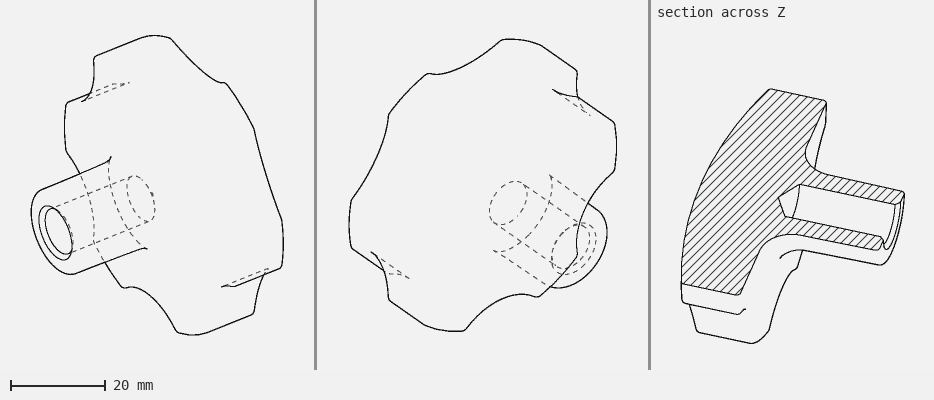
import cadquery as cq
import math

lobe_count = 6
grip_radius = 31.5
dome_apex = 18.0
dome_edge = 12.85
notch_radius = 14.5
notch_floor = 26.0
lobe_corner_radius = 1.5
edge_radius = 0.95

stem_length = 24.0
stem_base_radius = 9.8
stem_end_radius = 9.6
flare_radius = 16.95
flare_depth = 6.8

bore_radius = 5.1
bore_mouth_radius = 6.05
bore_depth = 22.05
drill_point_angle = 118.0


def lobed_disc():
    """Domed disc with concave finger notches between the lobes."""
    disc_height = dome_apex - dome_edge
    dome_radius = (grip_radius**2 + disc_height**2) / (2 * disc_height)
    mid_radius = grip_radius / 2
    mid_height = dome_apex - dome_radius + math.sqrt(dome_radius**2 - mid_radius**2)
    disc = (
        cq.Workplane("XY")
        .lineTo(grip_radius, 0)
        .lineTo(grip_radius, dome_edge)
        .threePointArc((mid_radius, mid_height), (0, dome_apex))
        .close()
        .revolve(360, (0, 0, 0), (0, 1, 0))
    )
    notches = (
        cq.Workplane("XZ")
        .polarArray(notch_floor + notch_radius, 180 / lobe_count, 360, lobe_count)
        .circle(notch_radius)
        .extrude(-dome_apex)
    )
    disc = disc.cut(notches)
    disc = disc.edges("|Y").fillet(lobe_corner_radius)
    return disc.faces("<Y or >Y").edges().fillet(edge_radius)


def stem():
    """Solid stem with a concave flare at the grip and a rounded free end."""
    flare_angle = math.radians(45)
    flare_width = flare_radius - stem_base_radius
    flare_middle = (
        flare_radius - flare_width * math.sin(flare_angle),
        -flare_depth * (1 - math.cos(flare_angle)),
    )
    root_height = dome_edge / 2
    profile = (
        cq.Workplane("XY")
        .moveTo(0, root_height)
        .lineTo(flare_radius, root_height)
        .lineTo(flare_radius, 0)
        .threePointArc(flare_middle, (stem_base_radius, -flare_depth))
        .lineTo(stem_end_radius, -stem_length)
        .lineTo(0, -stem_length)
        .close()
    )
    return profile.revolve(360, (0, 0, 0), (0, 1, 0)).faces("<Y").edges().fillet(edge_radius)


def bore():
    """Cutter for the bore, its countersink and its drill point."""
    countersink_depth = bore_mouth_radius - bore_radius
    point_depth = bore_radius / math.tan(math.radians(drill_point_angle / 2))
    return (
        cq.Workplane("XY")
        .moveTo(0, -stem_length)
        .lineTo(bore_mouth_radius, -stem_length)
        .lineTo(bore_radius, -stem_length + countersink_depth)
        .lineTo(bore_radius, -stem_length + bore_depth)
        .lineTo(0, -stem_length + bore_depth + point_depth)
        .close()
        .revolve(360, (0, 0, 0), (0, 1, 0))
    )


result = lobed_disc().union(stem()).cut(bore())